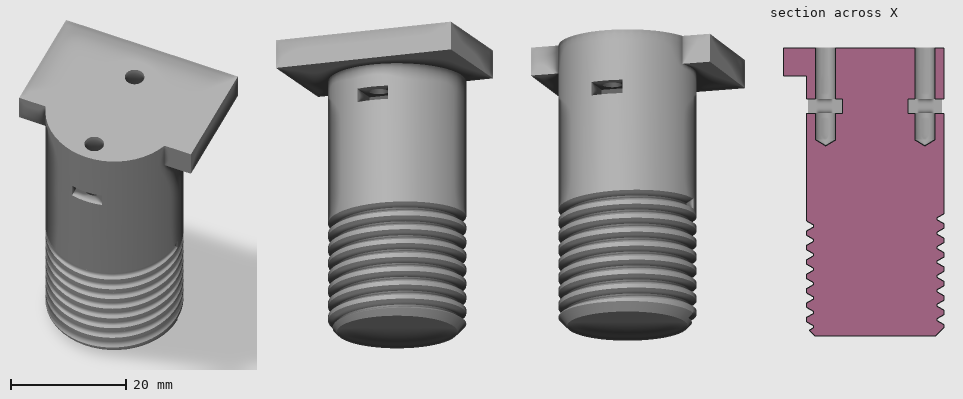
import cadquery as cq
import math

total_height = 50.09
body_diameter = 24.0
body_radius = body_diameter / 2

overall_depth = 28.0
plate_width = 32.63
plate_length = 20.0
plate_thickness = 5.0
plate_back_y = overall_depth - body_radius

hole_diameter = 3.4
hole_offset = body_radius - hole_diameter
hole_depth = 16.0
drill_point_angle = 118.0

slot_width = 5.7
slot_height = 2.4
slot_top_depth = 9.0
slot_inner_y = hole_offset - slot_width / 2

thread_pitch = 2.5
thread_turns = 8
thread_start_z = 1.0
groove_depth = 1.25
groove_root_width = 0.3
groove_flank_angle = 30.0
groove_clearance = 0.2

tip_chamfer = 1.5


def make_body():
    cylinder = (
        cq.Workplane("XY")
        .circle(body_radius)
        .extrude(total_height)
        .faces("<Z")
        .chamfer(tip_chamfer)
    )
    plate = (
        cq.Workplane("XY")
        .workplane(offset=total_height - plate_thickness)
        .center(0, plate_back_y - plate_length / 2)
        .rect(plate_width, plate_length)
        .extrude(plate_thickness)
    )
    return cylinder.union(plate)


def make_thread_groove():
    root_radius = body_radius - groove_depth
    outer_radius = body_radius + groove_clearance
    flank_run = (outer_radius - root_radius) * math.tan(math.radians(groove_flank_angle))
    root_half = groove_root_width / 2
    mouth_half = root_half + flank_run
    helix_height = thread_pitch * thread_turns
    helix = cq.Wire.makeHelix(thread_pitch, helix_height, root_radius)
    profile = cq.Workplane("XZ").polyline(
        [
            (root_radius, -root_half),
            (outer_radius, -mouth_half),
            (outer_radius, mouth_half),
            (root_radius, root_half),
        ]
    ).close()
    groove = profile.sweep(cq.Workplane(helix), isFrenet=True)
    return groove.translate((0, 0, thread_start_z))


def make_screw_hole(side):
    hole_radius = hole_diameter / 2
    point_height = hole_radius / math.tan(math.radians(drill_point_angle / 2))
    floor_z = total_height - hole_depth
    center_y = side * hole_offset
    bore = cq.Solid.makeCylinder(hole_radius, hole_depth, cq.Vector(0, center_y, floor_z))
    point = cq.Solid.makeCone(
        0, hole_radius, point_height, cq.Vector(0, center_y, floor_z - point_height)
    )
    return cq.Workplane(bore).union(cq.Workplane(point))


def make_nut_slot(side):
    slot_length = body_radius - slot_inner_y
    return cq.Workplane("XY").box(slot_width, slot_length, slot_height).translate(
        (
            0,
            side * (slot_inner_y + slot_length / 2),
            total_height - slot_top_depth - slot_height / 2,
        )
    )


result = make_body().cut(make_thread_groove())
for side in (-1, 1):
    result = result.cut(make_screw_hole(side))
    result = result.cut(make_nut_slot(side))